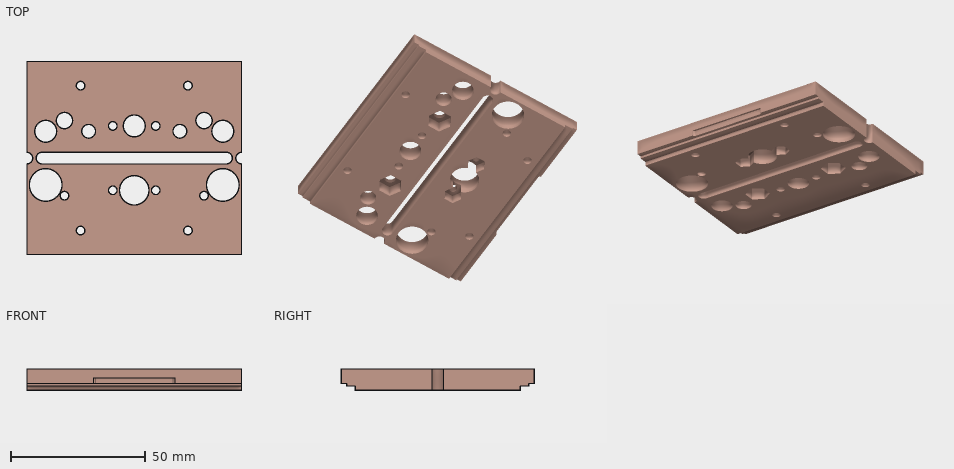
import cadquery as cq
import math

length = 80.0
width = 72.0
height = 8.0

outer_step_depth = 2.0
outer_step_height = 2.5
inner_step_depth = 5.2
inner_step_height = 1.6

relief_length = 30.5
relief_depth = 0.8
relief_top = 4.6
relief_radius = relief_depth

slot_width = 4.2
slot_length = 73.0

screw_diameter = 3.1
corner_screw_y = 54.0 / 2

small_nut_hole = (16.0, -12.0, screw_diameter)
large_nut_hole = (34.0, 10.0, 5.0)
mirrored_holes = [
    small_nut_hole,
    large_nut_hole,
    (16.0, 12.0, screw_diameter),
    (40.0, corner_screw_y, screw_diameter),
    (40.0, -corner_screw_y, screw_diameter),
    (52.0, -14.0, screw_diameter),
    (52.0, 14.0, 6.0),
    (66.0, 10.0, 8.1),
    (66.0, -10.0, 12.1),
]
center_holes = [
    (12.0, 8.1),
    (-12.0, 10.9),
]

nut_pockets = [
    (small_nut_hole, 6.0, 4.8),
    (large_nut_hole, 8.0, 6.0),
]


def stepped_plate():
    """Plate with its lower front and back edges stepped along X."""
    half = width / 2
    back_profile = [
        (half - inner_step_depth, 0),
        (half - inner_step_depth, inner_step_height),
        (half - outer_step_depth, inner_step_height),
        (half - outer_step_depth, outer_step_height),
        (half, outer_step_height),
        (half, height),
    ]
    front_profile = [(-y, z) for y, z in reversed(back_profile)]
    profile = cq.Workplane("YZ").polyline(back_profile + front_profile).close()
    return profile.extrude(length / 2, both=True)


def round_hole(x, y, diameter):
    return cq.Workplane("XY").center(x, y).circle(diameter / 2).extrude(height)


def nut_pocket(x, y, across_flats, depth):
    """Hexagonal prism rising from the underside, with two flats facing X."""
    across_corners = across_flats / math.cos(math.pi / 6)
    hexagon = cq.Workplane("XY").polygon(6, across_corners).extrude(depth)
    return hexagon.rotate((0, 0, 0), (0, 0, 1), 30).translate((x, y, 0))


def front_relief():
    """Recess cut into the front edge, with rounded inner corners."""
    front = -width / 2
    block = cq.Workplane("XY").box(
        relief_length, 2 * relief_depth, relief_top, centered=(True, True, False)
    )
    return block.edges("|Z and >Y").fillet(relief_radius).translate((0, front, 0))


def central_slot():
    slot = cq.Workplane("XY").slot2D(slot_length, slot_width).extrude(height)
    for side in (-1, 1):
        slot = slot.union(round_hole(side * length / 2, 0, slot_width))
    return slot


result = stepped_plate().cut(front_relief()).cut(central_slot())
for side in (-1, 1):
    for spacing, y, diameter in mirrored_holes:
        result = result.cut(round_hole(side * spacing / 2, y, diameter))
    for (spacing, y, _), flats, depth in nut_pockets:
        result = result.cut(nut_pocket(side * spacing / 2, y, flats, depth))
for y, diameter in center_holes:
    result = result.cut(round_hole(0, y, diameter))